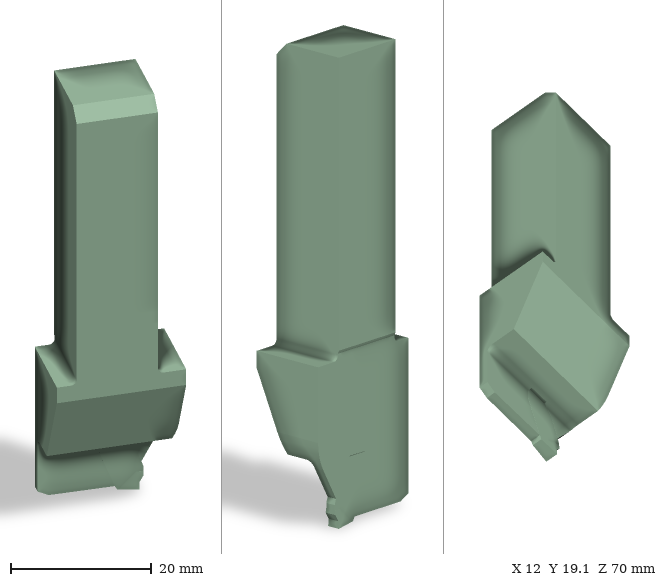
import cadquery as cq
import math

total_height = 70.0
shank_size = 12.0
shank_chamfer = 1.95
step_top = 26.45
step_bottom = 26.0

head_side = 0.2
head_front = -8.9
head_back = 10.15
head_bottom = 1.0
head_top = 24.9
neck_radius = 0.85
head_chamfer_width = 1.6
head_chamfer_height = 0.85

slant_bottom = (4.4, head_bottom)
slant_angle = 61.0
slant_radius = 9.1

taper_top = 22.3
shoulder_x = 6.6
shoulder_z = 10.5
blade_front_x = 1.7
blade_back_x = 1.9
shoulder_radius = 1.05

insert_thickness = 1.6
insert_far_side = head_side + insert_thickness
insert_top = 10.1
insert_top_front = 0.3
insert_top_back = 3.5
seat_gap = 0.15
tip = (6.0, 0.0)
insert_outline = [
    (insert_top_back, insert_top), (insert_top_front, insert_top), (-0.15, 9.25), (-0.15, 7.6),
    (2.45, 1.0), (2.8, 0.35), tip, (6.0, 1.1), (6.65, 2.2), (6.65, 3.65), (6.4, 4.5), (4.8, 8.55),
]
flare_start = (3.1, 0.4)
flare_top = 2.9
flare_width = 0.2

clearance = 3.5


def make_shank():
    half = shank_size / 2
    profile = [
        (head_side, head_top - neck_radius),
        (head_side, step_bottom),
        (0, step_top),
        (0, total_height),
        (shank_size - shank_chamfer, total_height),
        (shank_size, total_height - shank_chamfer),
        (shank_size, head_top - neck_radius),
    ]
    return cq.Workplane("XZ").polyline(profile).close().extrude(half, both=True)


def make_head():
    slant_rise = (head_back - slant_bottom[0]) * math.tan(math.radians(slant_angle))
    corner = (head_back, head_bottom + slant_rise)
    outline = [
        (head_front, head_top),
        (head_back, head_top),
        corner,
        slant_bottom,
        (head_front + head_chamfer_width, head_bottom),
        (head_front, head_bottom + head_chamfer_height),
    ]
    head = (
        cq.Workplane("YZ", origin=(head_side, 0, 0))
        .polyline(outline).close().extrude(shank_size - head_side)
    )
    corner_edge = cq.NearestToPointSelector((shank_size / 2, *corner))
    return head.edges(corner_edge).fillet(slant_radius)


def make_shoulder_taper():
    profile = [(shoulder_x, shoulder_z), (shank_size, shoulder_z), (shank_size, taper_top)]
    return cq.Workplane("XZ").polyline(profile).close().extrude(shank_size, both=True)


def make_blade_relief():
    """Space beside the blade, turned slightly so that the blade thickens toward the back."""
    head_width = head_back - head_front
    relief = cq.Workplane("XY", origin=(blade_front_x, head_front - clearance, -clearance)).box(
        shank_size + clearance, head_width + 2 * clearance, shoulder_z + clearance, centered=False
    )
    relief = relief.edges("|Y and >Z and <X").fillet(shoulder_radius)
    turn = -math.degrees(math.atan2(blade_back_x - blade_front_x, head_width))
    return relief.rotate((blade_front_x, head_front, 0), (blade_front_x, head_front, 1), turn)


def make_neck_fillet(side):
    """Concave fillet between the shank and the head; side is +1 or -1 in Y."""
    wall = side * shank_size / 2
    outer = wall + side * neck_radius
    arc_offset = neck_radius * (1 - math.sqrt(0.5))
    return (
        cq.Workplane("YZ", origin=(head_side, 0, 0))
        .moveTo(wall, head_top + neck_radius)
        .threePointArc((wall + side * arc_offset, head_top + arc_offset), (outer, head_top))
        .lineTo(outer, head_top - neck_radius)
        .lineTo(wall - side * neck_radius, head_top - neck_radius)
        .lineTo(wall - side * neck_radius, head_top + neck_radius)
        .close()
        .extrude(shank_size - head_side)
    )


def insert_prism(x_start, x_end):
    return (
        cq.Workplane("YZ", origin=(x_start, 0, 0))
        .polyline(insert_outline).close().extrude(x_end - x_start)
    )


def make_insert():
    """Flat insert whose cutting end flares out on both sides toward the tip."""
    flare_length = (tip[0] - flare_start[0] - tip[1] + flare_start[1]) / math.sqrt(2)
    wedge_plane = cq.Plane(
        origin=(0, *flare_start),
        xDir=(1, 0, 0),
        normal=(0, 1, 1),
    )
    wedge_profile = [
        (head_side, 0),
        (insert_far_side, 0),
        (insert_far_side + flare_width, flare_length),
        (head_side - flare_width, flare_length),
    ]
    wedge = (
        cq.Workplane(wedge_plane)
        .polyline(wedge_profile).close().extrude(2 * clearance, both=True)
    )
    below_flare_top = cq.Workplane("XY").box(
        2 * shank_size, 2 * shank_size, flare_top, centered=(True, True, False)
    )
    flared_prism = insert_prism(head_side - flare_width, insert_far_side + flare_width)
    flare = flared_prism.intersect(wedge).intersect(below_flare_top)
    return insert_prism(head_side, insert_far_side).union(flare)


def make_insert_pocket():
    """Opening through the blade that fits the insert, with a gap above its top edge."""
    gap = cq.Workplane("XY", origin=(0, insert_top_front, insert_top)).box(
        shank_size, insert_top_back - insert_top_front, seat_gap, centered=False
    )
    return insert_prism(0, shank_size).union(gap)


insert = make_insert()

holder = make_shank().union(make_head())
for side in (-1, 1):
    holder = holder.union(make_neck_fillet(side))
holder = holder.cut(make_shoulder_taper()).cut(make_blade_relief())
holder = holder.cut(make_insert_pocket())

result = cq.Compound.makeCompound([holder.val(), insert.val()])